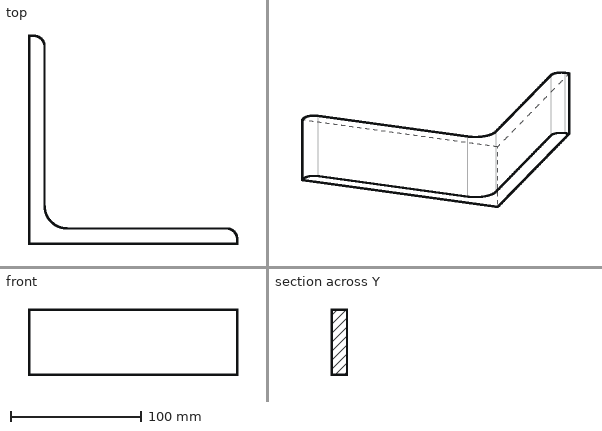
import cadquery as cq

leg_length = 160.0
leg_thickness = 12.0
part_height = 50.0
root_radius = 17.0
toe_radius = root_radius / 2


def leg_box(size_x, size_y):
    """Plain rectangular leg with its outer corner at the origin."""
    return cq.Workplane("XY").box(size_x, size_y, part_height, centered=False)


def round_vertical_edge(body, x, y, radius):
    """Fillet the vertical edge that passes through (x, y)."""
    edge_point = (x, y, part_height / 2)
    return body.edges(cq.selectors.NearestToPointSelector(edge_point)).fillet(radius)


angle = leg_box(leg_length, leg_thickness).union(leg_box(leg_thickness, leg_length))

angle = round_vertical_edge(angle, leg_thickness, leg_thickness, root_radius)
angle = round_vertical_edge(angle, leg_length, leg_thickness, toe_radius)
angle = round_vertical_edge(angle, leg_thickness, leg_length, toe_radius)

result = angle